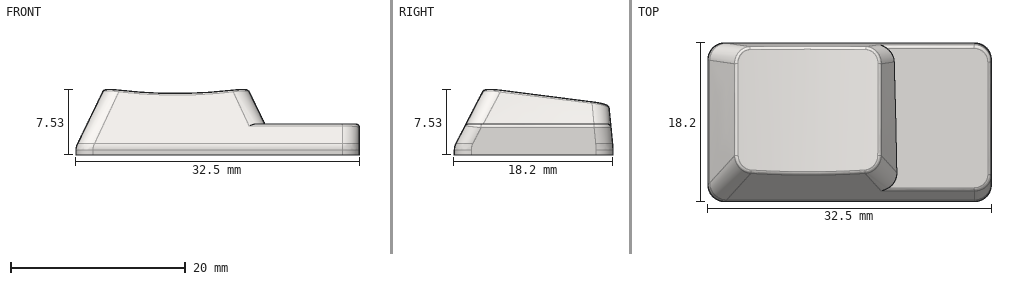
import cadquery as cq
import math

length = 32.45
width = 18.17
corner_radius = 1.95

skirt_height = 0.6
band_height = 0.78
band_sections = 4

step_height = 3.57
step_start = 7.8
step_edge_radius = 0.42

cap_length = 22.9
cap_side_inset = 3.18
cap_front_inset = 3.47
cap_back_inset = 0.5
cap_front_height = 7.72
cap_back_height = 5.9
cap_edge_radius = 0.4
dish_depth = 0.65

x_left = -length / 2
x_right = length / 2
y_front = -width / 2
y_back = width / 2
band_top = skirt_height + band_height

wall_foot = skirt_height + band_height / 2
cap_mean_height = (cap_front_height + cap_back_height) / 2
side_slope = cap_side_inset / (cap_mean_height - wall_foot)
front_slope = cap_front_inset / (cap_front_height - wall_foot)
back_slope = cap_back_inset / (cap_back_height - wall_foot)

cap_center_x = x_left + cap_length / 2
cap_top_length = cap_length - 2 * cap_side_inset
top_front_y = y_front + cap_front_inset
top_back_y = y_back - cap_back_inset
top_run = top_back_y - top_front_y
top_drop = cap_front_height - cap_back_height
top_width = math.hypot(top_run, top_drop)
top_plane = cq.Plane(
    origin=(cap_center_x, (top_front_y + top_back_y) / 2, cap_mean_height),
    xDir=(1, 0, 0),
    normal=(0, top_drop, top_run),
)


def rounded_rectangle(plane, size_x, size_y):
    """Closed wire of a round-cornered rectangle, centred on a plane."""
    blank = cq.Workplane(plane).rect(size_x, size_y).extrude(0.32)
    rounded = blank.edges(cq.selectors.ParallelDirSelector(plane.zDir)).fillet(corner_radius)
    return rounded.faces(cq.selectors.DirectionMinMaxSelector(plane.zDir, False)).wires().val()


def level_section(height, rise, x_min, x_max, right_slope):
    """Horizontal section whose sides have moved in by slope times rise."""
    left = x_min + side_slope * rise
    right = x_max - right_slope * rise
    front = y_front + front_slope * rise
    back = y_back - back_slope * rise
    plane = cq.Plane(origin=((left + right) / 2, (front + back) / 2, height))
    return rounded_rectangle(plane, right - left, back - front)


def loft(sections, ruled=True):
    """Solid through a list of closed wires."""
    return cq.Workplane(cq.Solid.makeLoft(sections, ruled))


def make_base():
    """Vertical skirt and the curved band above it, over the full footprint."""
    skirt = loft([level_section(z, 0, x_left, x_right, 0) for z in (0, skirt_height)])
    sections = []
    for i in range(band_sections + 1):
        climb = band_height * i / band_sections
        rise = climb**2 / (2 * band_height)
        sections.append(level_section(skirt_height + climb, rise, x_left, x_right, 0))
    return skirt.union(loft(sections, ruled=False))


def make_step():
    """Low step with a vertical +X end; its front and back walls are those of the cap."""
    x_start = x_left + step_start
    sections = [
        level_section(z, z - wall_foot, x_start, x_right, 0) for z in (band_top, step_height)
    ]
    return loft(sections).faces(">Z").edges().fillet(step_edge_radius)


def make_cap():
    """Tapered cap with a cylindrical dish and a rounded rim in its tilted top."""
    foot = level_section(band_top, band_top - wall_foot, x_left, x_left + cap_length, side_slope)
    cap = loft([foot, rounded_rectangle(top_plane, cap_top_length, top_width)])

    dish_radius = (cap_top_length**2 / 4 + dish_depth**2) / (2 * dish_depth)
    dish_axis = cq.Plane(
        origin=top_plane.toWorldCoords((0, 0, dish_radius - dish_depth)),
        xDir=top_plane.xDir,
        normal=top_plane.yDir,
    )
    dish = cq.Workplane(dish_axis).circle(dish_radius).extrude(width, both=True)
    cap = cap.cut(dish)
    rim = cap.faces(cq.selectors.DirectionMinMaxSelector(top_plane.zDir, True)).edges()
    return rim.fillet(cap_edge_radius)


result = make_base().union(make_step()).union(make_cap())